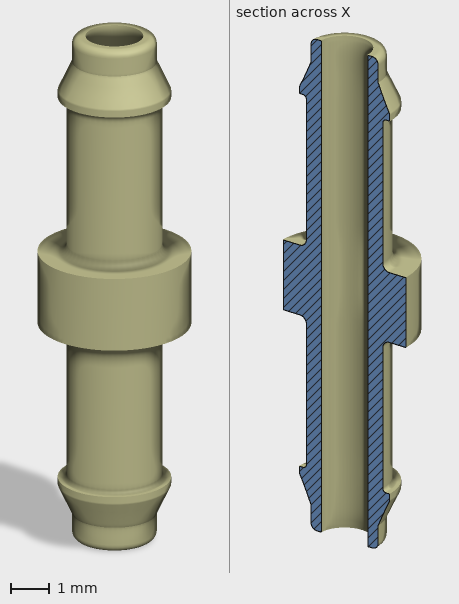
import cadquery as cq
import math

total_length = 14.0
bore_diameter = 1.5
collar_diameter = 4.0
collar_length = 2.0
stem_diameter = 2.5
barb_diameter = 2.95
tip_diameter = 2.2

tip_length = 0.7
barb_taper_length = 0.8
barb_land_length = 0.2

tip_round = 0.2
collar_fillet = 0.2
barb_round = 0.1
barb_fillet = 0.1

bore_radius = bore_diameter / 2
collar_radius = collar_diameter / 2
stem_radius = stem_diameter / 2
barb_radius = barb_diameter / 2
tip_radius = tip_diameter / 2

end_z = total_length / 2
collar_z = collar_length / 2
taper_top_z = end_z - tip_length
taper_bottom_z = taper_top_z - barb_taper_length
barb_base_z = taper_bottom_z - barb_land_length

taper_angle = math.atan2(barb_radius - tip_radius, barb_taper_length)
barb_tangent = barb_round * math.tan(taper_angle / 2)
round_start = (barb_radius, taper_bottom_z - barb_tangent)
round_end = (
    barb_radius - barb_tangent * math.sin(taper_angle),
    taper_bottom_z + barb_tangent * math.cos(taper_angle),
)


def make_collar():
    """Central ring, bored through."""
    return (
        cq.Workplane("XY")
        .workplane(offset=-collar_z)
        .circle(collar_radius)
        .circle(bore_radius)
        .extrude(collar_length)
    )


def make_hose_end():
    """Stem, barb and rounded tip standing on the upper collar face."""
    profile = (
        cq.Workplane("XZ")
        .moveTo(bore_radius, collar_z)
        .lineTo(stem_radius + collar_fillet, collar_z)
        .radiusArc((stem_radius, collar_z + collar_fillet), collar_fillet)
        .lineTo(stem_radius, barb_base_z - barb_fillet)
        .radiusArc((stem_radius + barb_fillet, barb_base_z), barb_fillet)
        .lineTo(barb_radius, barb_base_z)
        .lineTo(*round_start)
        .radiusArc(round_end, -barb_round)
        .lineTo(tip_radius, taper_top_z)
        .lineTo(tip_radius, end_z - tip_round)
        .radiusArc((tip_radius - tip_round, end_z), -tip_round)
        .lineTo(bore_radius, end_z)
        .close()
    )
    return profile.revolve(360, (0, 0, 0), (0, 1, 0))


upper_end = make_hose_end()
lower_end = upper_end.mirror("XY")
result = make_collar().union(upper_end).union(lower_end).clean()